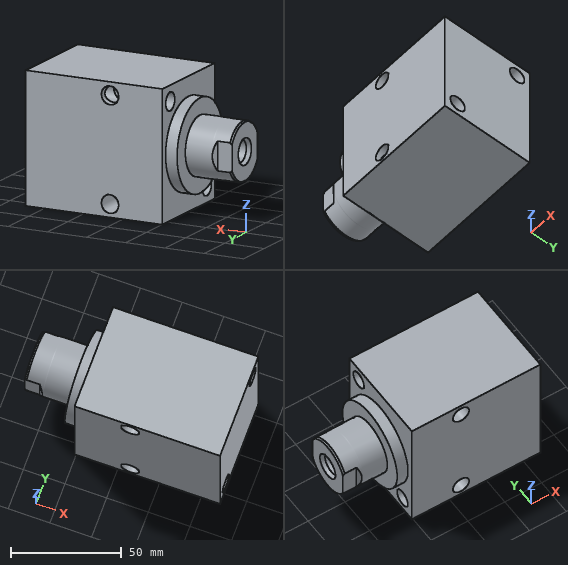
import cadquery as cq

overall_length = 98.55
block_length = 69.85
block_width = 50.8
block_height = 63.5

flange_diameter = 44.6
flange_length = 5.85

rod_diameter = 28.55
tip_diameter = 28.4
tip_length = 9.2
tip_shoulder_length = 0.5
tip_chamfer_length = 1.0
tip_chamfer_depth = 0.4

flats_width = 24.75
flats_length = 7.3

bore_diameter = 10.4
bore_mouth_diameter = 12.7
bore_edge_break = 0.3
bore_mouth_length = 2.0
bore_depth = 25.4

mounting_hole_diameter = 8.73
cross_hole_x = 26.7
cross_hole_z = 25.4
long_hole_y = 17.8
long_hole_z = 24.1

rod_length = overall_length - block_length
rod_end_x = -rod_length


def make_block():
    return cq.Workplane("XY").box(
        block_length, block_width, block_height, centered=(False, True, True)
    )


def make_flange_and_rod():
    """Revolve the stepped half profile of the flange and rod about the X axis."""
    tip_radius = tip_diameter / 2
    rod_radius = rod_diameter / 2
    flange_radius = flange_diameter / 2
    tip_back_x = rod_end_x + tip_length
    profile = (
        cq.Workplane("XY")
        .moveTo(rod_end_x, 0)
        .lineTo(rod_end_x, tip_radius - tip_chamfer_depth)
        .lineTo(rod_end_x + tip_chamfer_length, tip_radius)
        .lineTo(tip_back_x, tip_radius)
        .lineTo(tip_back_x + tip_shoulder_length, rod_radius)
        .lineTo(-flange_length, rod_radius)
        .lineTo(-flange_length, flange_radius)
        .lineTo(0, flange_radius)
        .lineTo(0, 0)
        .close()
    )
    return profile.revolve(360, (0, 0, 0), (1, 0, 0))


def make_flat_cutter(side):
    """Prism that cuts one wrench flat; side is +1 or -1 along Y."""
    inner_y = flats_width / 2
    outer_y = rod_diameter / 2
    flat_back_x = rod_end_x + flats_length
    runout = outer_y - inner_y
    return (
        cq.Workplane("XY")
        .moveTo(rod_end_x, side * inner_y)
        .lineTo(flat_back_x, side * inner_y)
        .lineTo(flat_back_x + runout, side * outer_y)
        .lineTo(rod_end_x, side * outer_y)
        .close()
        .extrude(rod_diameter / 2, both=True)
    )


def make_bore():
    """Blind bore with a tapered mouth and a 45 degree broken edge."""
    bore_radius = bore_diameter / 2
    mouth_radius = bore_mouth_diameter / 2
    profile = (
        cq.Workplane("XY")
        .moveTo(rod_end_x, 0)
        .lineTo(rod_end_x, mouth_radius)
        .lineTo(rod_end_x + bore_edge_break, mouth_radius - bore_edge_break)
        .lineTo(rod_end_x + bore_mouth_length, bore_radius)
        .lineTo(rod_end_x + bore_depth, bore_radius)
        .lineTo(rod_end_x + bore_depth, 0)
        .close()
    )
    return profile.revolve(360, (0, 0, 0), (1, 0, 0))


def make_cross_holes():
    """Two holes through the block along Y."""
    return (
        cq.Workplane("XZ")
        .pushPoints([(cross_hole_x, cross_hole_z), (cross_hole_x, -cross_hole_z)])
        .circle(mounting_hole_diameter / 2)
        .extrude(block_width / 2, both=True)
    )


def make_long_holes():
    """Two diagonally opposite holes through the block along X."""
    return (
        cq.Workplane("YZ")
        .pushPoints([(long_hole_y, long_hole_z), (-long_hole_y, -long_hole_z)])
        .circle(mounting_hole_diameter / 2)
        .extrude(block_length)
    )


result = make_block().union(make_flange_and_rod())
for flat_side in (1, -1):
    result = result.cut(make_flat_cutter(flat_side))
result = result.cut(make_bore())
result = result.cut(make_cross_holes())
result = result.cut(make_long_holes())